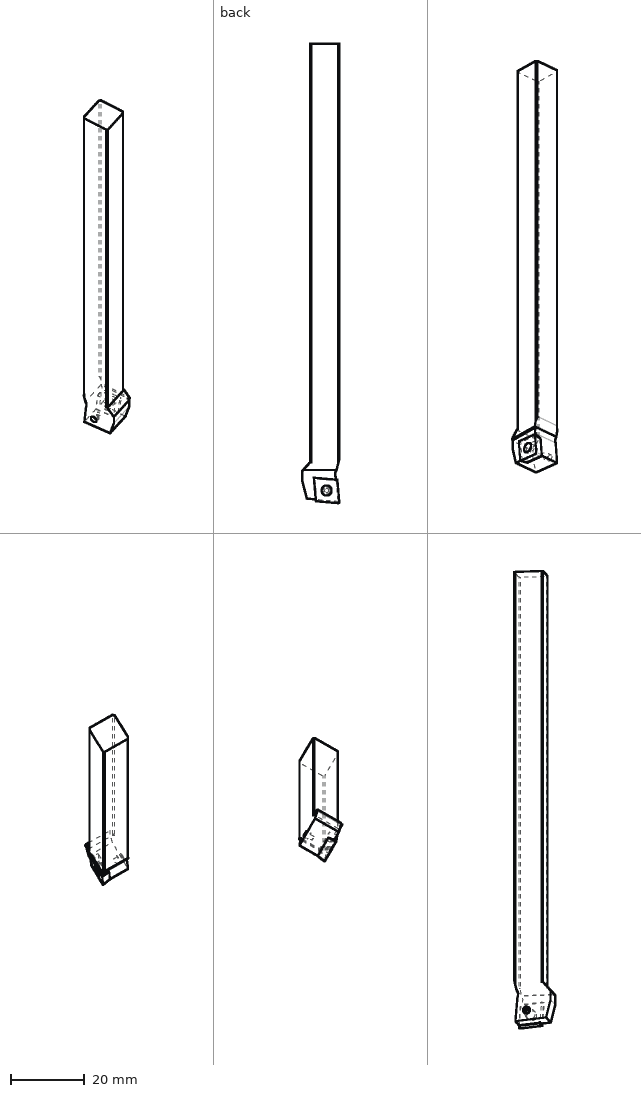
import cadquery as cq
import math

overall_length = 125.0
shank_size = 8.0
edge_chamfer = 0.4

head_reach = 10.1
shoulder_bottom = 8.8
shoulder_top = 11.1
heel_top = 6.1
heel_x = 8.9
notch_top = 12.0
notch_knee = 9.0
notch_knee_x = 0.8
notch_depth = 1.1
notch_middle = 8.0
lip_top = 7.1
head_corner_x = 0.4
head_corner_z = 0.5
back_step = 0.5
back_step_top = notch_knee

insert_circle = 6.4
insert_angle = 80.0
insert_thickness = 2.4
relief_angle = 7.0
insert_proud = 0.1
nose_radius = 0.4
insert_hole = 2.8
screw_hole = 1.9
screw_hole_depth = 1.2
screw_tip = 1.1
screw_tip_depth = 2.5

edge_tilt = (90.0 - insert_angle) / 2
tilt_slope = math.tan(math.radians(edge_tilt))
insert_edge = insert_circle / math.sin(math.radians(insert_angle))
edge_along = insert_edge * math.cos(math.radians(edge_tilt))
edge_across = insert_edge * math.sin(math.radians(edge_tilt))
nose_center = nose_radius / math.sin(math.radians(insert_angle / 2)) * math.cos(math.radians(45))
corner = nose_radius - nose_center
far_corner = corner + edge_along + edge_across
insert_center = (corner + far_corner) / 2


def back_plane(y):
    """XZ plane at the given Y, with X and Z as its axes and -Y as its normal."""
    return cq.Workplane("XZ", origin=(0, y, 0))


def make_insert_blank():
    """Rhombus at the rake face, narrowing toward -Y by the relief angle."""
    return (
        back_plane(insert_proud)
        .polyline([
            (corner, corner),
            (corner + edge_along, corner + edge_across),
            (far_corner, far_corner),
            (corner + edge_across, corner + edge_along),
        ])
        .close()
        .extrude(insert_thickness, taper=relief_angle)
        .edges(cq.selectors.NearestToPointSelector((0, insert_proud - insert_thickness / 2, 0)))
        .fillet(nose_radius)
    )


def make_center_hole(start_y, diameter, depth):
    """Cylinder about the insert axis, running from start_y toward -Y."""
    return (
        back_plane(start_y)
        .center(insert_center, insert_center)
        .circle(diameter / 2)
        .extrude(depth)
    )


def make_shank():
    return (
        cq.Workplane("XY", origin=(0, 0, shoulder_top))
        .rect(shank_size, shank_size)
        .extrude(overall_length - shoulder_top)
        .edges("|Z")
        .chamfer(edge_chamfer)
        .translate((shank_size / 2, -shank_size / 2, 0))
    )


def make_head():
    lip_x = head_corner_x + (lip_top - head_corner_z) * tilt_slope
    heel_z = head_corner_z + (heel_x - head_corner_x) * tilt_slope
    notch_fraction = (notch_top - shoulder_top) / (notch_top - notch_knee)
    head = (
        back_plane(0)
        .moveTo(notch_fraction * notch_knee_x, shoulder_top)
        .lineTo(notch_knee_x, notch_knee)
        .threePointArc((notch_depth, notch_middle), (lip_x, lip_top))
        .lineTo(head_corner_x, head_corner_z)
        .lineTo(heel_x, heel_z)
        .lineTo(head_reach, heel_top)
        .lineTo(head_reach, shoulder_bottom)
        .lineTo(shank_size, shoulder_top)
        .close()
        .extrude(shank_size)
    )
    step = cq.Workplane("XY").box(head_reach, back_step, back_step_top, centered=False)
    return head.cut(step.translate((0, -back_step, 0)))


def make_notch_cut():
    """Wedge that carries the head's left relief up into the shank."""
    return (
        back_plane(0)
        .polyline([(0, notch_top), (notch_knee_x, notch_knee), (0, notch_knee)])
        .close()
        .extrude(shank_size)
    )


def make_holder():
    wide_bore = make_center_hole(screw_hole_depth - shank_size, screw_hole, screw_hole_depth)
    narrow_bore = make_center_hole(screw_tip_depth - shank_size, screw_tip, screw_tip_depth)
    holder = make_shank().union(make_head()).cut(make_notch_cut())
    return holder.cut(make_insert_blank()).cut(wide_bore).cut(narrow_bore)


def make_insert():
    return make_insert_blank().cut(make_center_hole(insert_proud, insert_hole, insert_thickness))


holder = make_holder()
insert = make_insert()
result = cq.Compound.makeCompound([holder.val(), insert.val()])